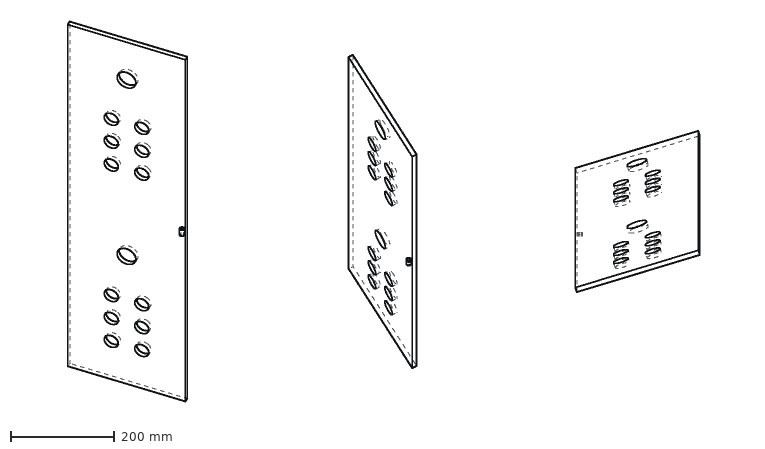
import cadquery as cq

PLATE_WIDTH = 250.0
PLATE_THICKNESS = 10.0
PLATE_HEIGHT = 900.0

LARGE_HOLE_DIAMETER = 40.0
SMALL_HOLE_DIAMETER = 30.0
EDGE_MARGIN = 100.0
LARGE_TO_GRID = 115.0
GRID_COLUMNS = 2
GRID_ROWS = 3
COLUMN_PITCH = 65.0
ROW_PITCH = 60.0
GRID_HEIGHT = (GRID_ROWS - 1) * ROW_PITCH
UPPER_LARGE_HOLE_Z = PLATE_HEIGHT / 2 - EDGE_MARGIN
LOWER_LARGE_HOLE_Z = -PLATE_HEIGHT / 2 + EDGE_MARGIN + GRID_HEIGHT + LARGE_TO_GRID

KNUCKLE_DIAMETER = 10.0
KNUCKLE_BORE = 5.0
KNUCKLE_LENGTH = 15.0
KNUCKLE_X = (PLATE_WIDTH - KNUCKLE_DIAMETER) / 2
KNUCKLE_Y = -KNUCKLE_DIAMETER / 2


def cut_holes(body, points, diameter):
    """Cut holes through the plate along Y at the given (X, Z) points."""
    cutters = (
        cq.Workplane("XZ").pushPoints(points).circle(diameter / 2).extrude(-PLATE_THICKNESS)
    )
    return body.cut(cutters)


def make_plate():
    plate = cq.Workplane("XY").box(
        PLATE_WIDTH, PLATE_THICKNESS, PLATE_HEIGHT, centered=(True, False, True)
    )
    for large_hole_z in (UPPER_LARGE_HOLE_Z, LOWER_LARGE_HOLE_Z):
        first_row_z = large_hole_z - LARGE_TO_GRID
        grid_points = [
            ((column - (GRID_COLUMNS - 1) / 2) * COLUMN_PITCH, first_row_z - row * ROW_PITCH)
            for column in range(GRID_COLUMNS)
            for row in range(GRID_ROWS)
        ]
        plate = cut_holes(plate, [(0, large_hole_z)], LARGE_HOLE_DIAMETER)
        plate = cut_holes(plate, grid_points, SMALL_HOLE_DIAMETER)
    return plate


def make_knuckle():
    return (
        cq.Workplane("XY", origin=(KNUCKLE_X, KNUCKLE_Y, -KNUCKLE_LENGTH / 2))
        .circle(KNUCKLE_DIAMETER / 2)
        .circle(KNUCKLE_BORE / 2)
        .extrude(KNUCKLE_LENGTH)
    )


plate = make_plate()
knuckle = make_knuckle()

result = cq.Compound.makeCompound([plate.val(), knuckle.val()])